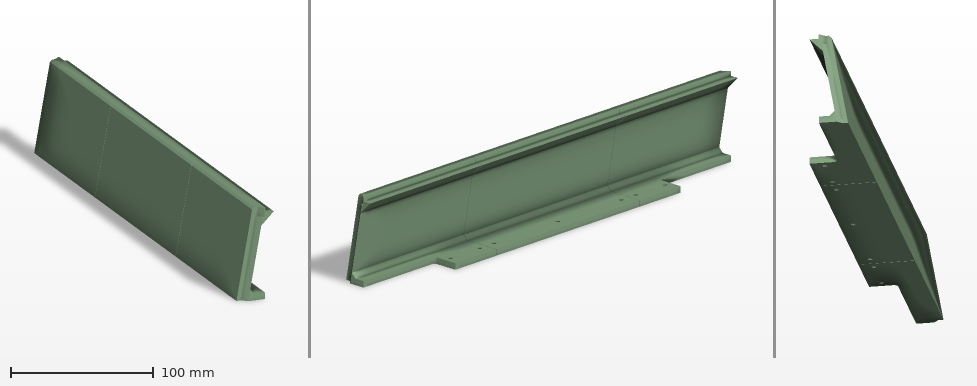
import cadquery as cq
import math

LENGTH = 373.2
HEIGHT = 67.0
DEPTH = 40.3
CENTER_LENGTH = 145.5
SEAM_GAP = 0.5

TILT = math.radians(10.3)
WALL_THICKNESS = 7.5
WALL_TOP = 60.5

BASE_THICKNESS = 5.0
LEDGE_DEPTH = 20.0
FLANGE_LENGTH = 228.8
FLANGE_FILLET = 3.0
FOOT_BRACE = 4.0

LIP_TOP = 64.0
LIP_BACK = 27.0
CAP_BACK = 20.5
CAP_CHAMFER = 1.5

END_SETBACK = 3.7
CAP_MITER_BACK = 19.8

HOLE_DIAMETER = 3.4
HOLE_Y = 30.2
SIDE_HOLE_X = [64.5, 79.0, 109.0]

HALF_LENGTH = LENGTH / 2
SLOPE = math.tan(TILT)
OUTER_START = CENTER_LENGTH / 2 + SEAM_GAP
OUTER_LENGTH = HALF_LENGTH - OUTER_START
OUTER_CENTER = (HALF_LENGTH + OUTER_START) / 2
SEGMENTS = [
    (-OUTER_CENTER, OUTER_LENGTH),
    (0.0, CENTER_LENGTH),
    (OUTER_CENTER, OUTER_LENGTH),
]


def wall_front(z):
    """Y of the leaning front face at height z."""
    return z * SLOPE


def wall_back(z):
    """Y of the leaning back face at height z."""
    return wall_front(z) + WALL_THICKNESS


def lip_underside(z):
    """Y of the 45 degree underside of the lip at height z."""
    return LIP_BACK - (LIP_TOP - z)


def extrude_along_x(points):
    """Extrude a closed YZ outline over the full length, centred on X = 0."""
    return cq.Workplane("YZ").polyline(points).close().extrude(HALF_LENGTH, both=True)


def cut_both_ends(body, cutter):
    """Cut the -X end with the cutter and the +X end with its mirror image."""
    return body.cut(cutter).cut(cutter.mirror("YZ"))


def miter_outline(back_y, run_y):
    """XY outline to remove at the -X end.

    A diagonal starts at back_y on the end face and comes forward by run_y while it
    moves in by END_SETBACK; from there the cut goes straight to the front.
    """
    setback_x = -HALF_LENGTH + END_SETBACK
    return [
        (-HALF_LENGTH, back_y),
        (setback_x, back_y - run_y),
        (setback_x, -DEPTH),
        (-HALF_LENGTH, -DEPTH),
    ]


def segment(body, center_x, length):
    """Slice one segment out of a full-length body."""
    slicer = cq.Workplane("XY").box(length, 4 * DEPTH, 4 * HEIGHT).translate((center_x, 0, 0))
    return body.intersect(slicer)


def bracket_profile():
    brace_top = BASE_THICKNESS + FOOT_BRACE / (1 + SLOPE)
    support_bottom = (WALL_THICKNESS - LIP_BACK + LIP_TOP) / (1 - SLOPE)
    return [
        (0, 0),
        (LEDGE_DEPTH, 0),
        (LEDGE_DEPTH, BASE_THICKNESS),
        (wall_back(BASE_THICKNESS) + FOOT_BRACE, BASE_THICKNESS),
        (wall_back(brace_top), brace_top),
        (wall_back(support_bottom), support_bottom),
        (lip_underside(WALL_TOP), WALL_TOP),
        (wall_front(WALL_TOP), WALL_TOP),
    ]


def flange():
    """Deep part of the foot, flaring into the ledge with a concave fillet at each end."""
    half = FLANGE_LENGTH / 2
    r = FLANGE_FILLET
    mid = r * (1 - math.sqrt(0.5))
    return (
        cq.Workplane("XY")
        .moveTo(-half - r, LEDGE_DEPTH)
        .threePointArc((-half - mid, LEDGE_DEPTH + mid), (-half, LEDGE_DEPTH + r))
        .lineTo(-half, DEPTH)
        .lineTo(half, DEPTH)
        .lineTo(half, LEDGE_DEPTH + r)
        .threePointArc((half + mid, LEDGE_DEPTH + mid), (half + r, LEDGE_DEPTH))
        .close()
        .extrude(BASE_THICKNESS)
    )


def screw_holes():
    hole_x = [0.0] + SIDE_HOLE_X + [-x for x in SIDE_HOLE_X]
    return (
        cq.Workplane("XY")
        .pushPoints([(x, HOLE_Y) for x in hole_x])
        .circle(HOLE_DIAMETER / 2)
        .extrude(BASE_THICKNESS)
    )


def wall_end_cutter():
    """End miter of the wall, 45 degrees to its leaning faces and starting at its back face."""
    miter_run = END_SETBACK / math.cos(TILT)
    outline = miter_outline(WALL_THICKNESS, miter_run)
    lean = cq.Workplane("YZ").lineTo(wall_front(WALL_TOP), WALL_TOP)
    return cq.Workplane("XY").polyline(outline).close().sweep(lean)


full_bracket = extrude_along_x(bracket_profile()).union(flange()).cut(screw_holes())
full_bracket = cut_both_ends(full_bracket, wall_end_cutter())
brackets = [segment(full_bracket, x, length) for x, length in SEGMENTS]


def cap_profile():
    chamfer_z = HEIGHT - CAP_CHAMFER * math.cos(TILT)
    return [
        (wall_front(WALL_TOP), WALL_TOP),
        (lip_underside(WALL_TOP), WALL_TOP),
        (LIP_BACK, LIP_TOP),
        (CAP_BACK, LIP_TOP),
        (CAP_BACK, HEIGHT),
        (wall_front(HEIGHT) + CAP_CHAMFER, HEIGHT),
        (wall_front(chamfer_z), chamfer_z),
    ]


def cap_end_cutter():
    outline = miter_outline(CAP_MITER_BACK, END_SETBACK)
    return cq.Workplane("XY").polyline(outline).close().extrude(HEIGHT)


full_cap = cut_both_ends(extrude_along_x(cap_profile()), cap_end_cutter())
caps = [segment(full_cap, x, length) for x, length in SEGMENTS]

result = cq.Compound.makeCompound([body.val() for body in brackets + caps])